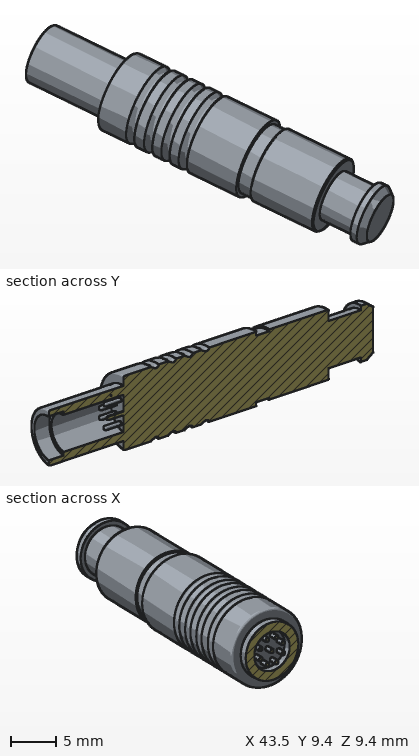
import cadquery as cq
import math

LENGTH = 43.5
X_FRONT = -LENGTH / 2

NOSE_LENGTH = 10.0
NOSE_DIAMETER = 7.0
NOSE_RADIUS = NOSE_DIAMETER / 2

SLEEVE_LENGTH = 17.85
SLEEVE_RADIUS = 4.7
EDGE_ROUND = 0.25

GROOVE_WIDTH = 1.05
GROOVE_SLOPE_DEPTH = 0.3
FIRST_GROOVE_OFFSET = 3.7
SECOND_GROOVE_OFFSET = 6.0
GROOVE_PITCH = 2.2
PITCHED_GROOVE_COUNT = 3
GROOVE_OFFSETS = [FIRST_GROOVE_OFFSET]
GROOVE_OFFSETS += [SECOND_GROOVE_OFFSET + i * GROOVE_PITCH for i in range(PITCHED_GROOVE_COUNT)]

RELIEF_LENGTH = 1.7
RELIEF_RADIUS = 4.2
NUT_LENGTH = 8.0
NUT_RADIUS = 4.45
NUT_CHAMFER = 0.15

STEM_RADIUS = 3.0
FLANGE_LENGTH = 1.7
FLANGE_RADIUS = 3.55
FLANGE_CHAMFER_LENGTH = 0.85
FLANGE_END_RADIUS = 2.85

SOCKET_RADIUS = 2.75
SOCKET_DEPTH = 2.0
WELL_RADIUS = 2.3
WELL_DEPTH = NOSE_LENGTH

PIN_RADIUS = 0.25
PIN_LENGTH = 2.18
PIN_CIRCLE_RADIUS = 1.6
PIN_COUNT = 8


def cylinder(x_start, length, radius):
    """Solid cylinder about the X axis."""
    return cq.Workplane("YZ", origin=(x_start, 0, 0)).circle(radius).extrude(length)


def groove_cutter(x_start):
    """Ring with a straight front slope and a tangent arc curving up to the rear edge."""
    x_end = x_start + GROOVE_WIDTH
    x_middle = x_start + GROOVE_WIDTH / 2
    middle_radius = SLEEVE_RADIUS - GROOVE_SLOPE_DEPTH
    return (
        cq.Workplane("XY")
        .moveTo(x_start, SLEEVE_RADIUS)
        .lineTo(x_middle, middle_radius)
        .tangentArcPoint((x_end, SLEEVE_RADIUS), relative=False)
        .close()
        .revolve(360, (0, 0, 0), (1, 0, 0))
    )


def make_nose():
    return cylinder(X_FRONT, NOSE_LENGTH, NOSE_RADIUS).faces("<X").edges().fillet(EDGE_ROUND)


def make_sleeve(x_start):
    sleeve = cylinder(x_start, SLEEVE_LENGTH, SLEEVE_RADIUS).faces("<X").edges().fillet(EDGE_ROUND)
    for offset in GROOVE_OFFSETS:
        sleeve = sleeve.cut(groove_cutter(x_start + offset))
    return sleeve


def make_nut(x_start):
    return cylinder(x_start, NUT_LENGTH, NUT_RADIUS).faces(">X").edges().chamfer(NUT_CHAMFER)


def make_stem(x_start):
    x_rear = X_FRONT + LENGTH
    x_flange = x_rear - FLANGE_LENGTH
    x_chamfer = x_rear - FLANGE_CHAMFER_LENGTH
    return (
        cq.Workplane("XY")
        .moveTo(x_start, 0)
        .lineTo(x_start, STEM_RADIUS)
        .lineTo(x_flange, STEM_RADIUS)
        .lineTo(x_flange, FLANGE_RADIUS)
        .lineTo(x_chamfer, FLANGE_RADIUS)
        .lineTo(x_rear, FLANGE_END_RADIUS)
        .lineTo(x_rear, 0)
        .close()
        .revolve(360, (0, 0, 0), (1, 0, 0))
    )


def make_pin(y, z):
    """Straight pin rising from the well floor to a hemispherical tip."""
    x_floor = X_FRONT + WELL_DEPTH
    shank_length = PIN_LENGTH - PIN_RADIUS
    shank = cylinder(x_floor, -shank_length, PIN_RADIUS)
    tip = cq.Workplane("XY").sphere(PIN_RADIUS).translate((x_floor - shank_length, 0, 0))
    return shank.union(tip).translate((0, y, z))


x_sleeve = X_FRONT + NOSE_LENGTH
x_relief = x_sleeve + SLEEVE_LENGTH
x_nut = x_relief + RELIEF_LENGTH
x_stem = x_nut + NUT_LENGTH

body = (
    make_nose()
    .union(make_sleeve(x_sleeve))
    .union(cylinder(x_relief, RELIEF_LENGTH, RELIEF_RADIUS))
    .union(make_nut(x_nut))
    .union(make_stem(x_stem))
)

body = body.cut(cylinder(X_FRONT, SOCKET_DEPTH, SOCKET_RADIUS))
body = body.cut(cylinder(X_FRONT, WELL_DEPTH, WELL_RADIUS))

result = body.union(make_pin(0, 0))
for i in range(PIN_COUNT):
    angle = 2 * math.pi * (i + 0.5) / PIN_COUNT
    y = PIN_CIRCLE_RADIUS * math.cos(angle)
    z = PIN_CIRCLE_RADIUS * math.sin(angle)
    result = result.union(make_pin(y, z))